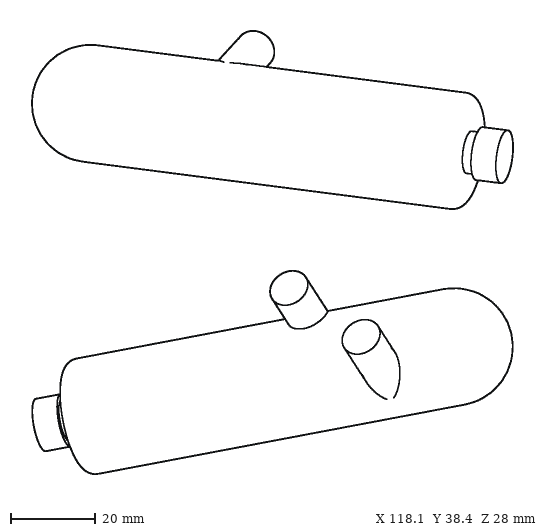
import cadquery as cq

total_length = 118.1
body_diameter = 28.0
body_radius = body_diameter / 2
total_depth = 38.4

body_end = 109.3
rim_radius = 2.8

neck_diameter = 10.2
cap_diameter = 12.8
cap_length = 6.3

pipe_diameter = 9.6
pipe_offset = 8.9
lower_pipe_x = 28.9
upper_pipe_x = 47.1
pipe_length = total_depth - body_radius


def rod_along_x(start, end, diameter):
    """Solid cylinder on the X axis between two stations."""
    return cq.Workplane("YZ", origin=(start, 0, 0)).circle(diameter / 2).extrude(end - start)


def side_pipe(x, z):
    """Solid pipe from the mid-plane of the body out towards +Y."""
    return cq.Workplane("XZ", origin=(x, 0, z)).circle(pipe_diameter / 2).extrude(-pipe_length)


barrel = rod_along_x(body_radius, body_end, body_diameter).faces(">X").edges().fillet(rim_radius)
nose = cq.Workplane("XY").sphere(body_radius).translate((body_radius, 0, 0))

cap_start = total_length - cap_length
neck = rod_along_x(body_end, cap_start, neck_diameter)
cap = rod_along_x(cap_start, total_length, cap_diameter)

result = barrel.union(nose).union(neck).union(cap)
for x, z in ((lower_pipe_x, -pipe_offset), (upper_pipe_x, pipe_offset)):
    result = result.union(side_pipe(x, z))